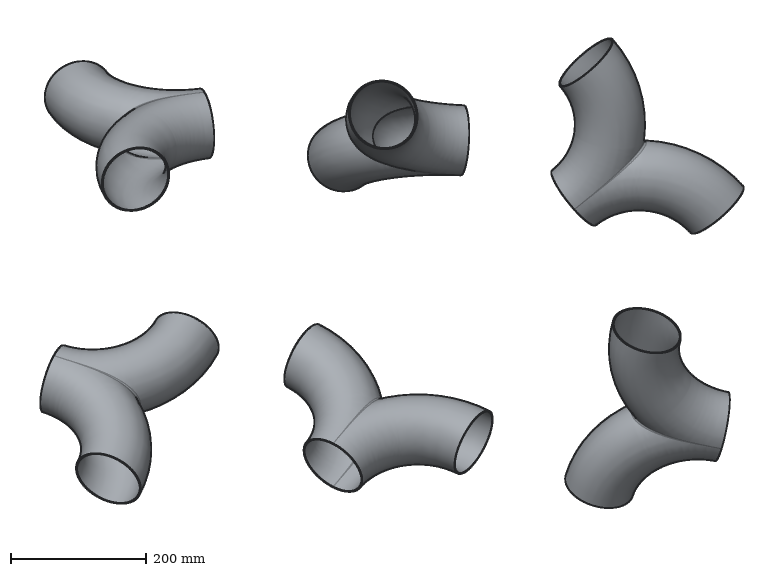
import cadquery as cq

bend_radius = 150.0
outer_diameter = 104.0
wall = 2.0
crotch_fillet = 3.0

outer_radius = outer_diameter / 2
inner_radius = outer_radius - wall
bore_fillet = crotch_fillet + wall


def left_elbow(radius):
    """Solid quarter bend from the shared mouth at y = 0 to the branch end at x = -bend_radius."""
    return (
        cq.Workplane("XZ")
        .circle(radius)
        .revolve(90, (-bend_radius, 0), (-bend_radius, -1))
    )


def branched_body(radius, fillet_radius):
    """Two mirrored elbows trimmed at the plane x = 0, with their seam rounded."""
    trim_block = cq.Workplane("XY").box(
        bend_radius, 2 * (bend_radius + radius), 2 * bend_radius
    ).translate((-bend_radius / 2, 0, 0))
    left_half = left_elbow(radius).intersect(trim_block)
    body = left_half.union(left_half.mirror("YZ"))
    seam_box = cq.selectors.BoxSelector(
        (-fillet_radius, -bend_radius, -radius),
        (fillet_radius, 0, radius),
    )
    return body.edges(seam_box).fillet(fillet_radius)


result = branched_body(outer_radius, crotch_fillet).cut(branched_body(inner_radius, bore_fillet))